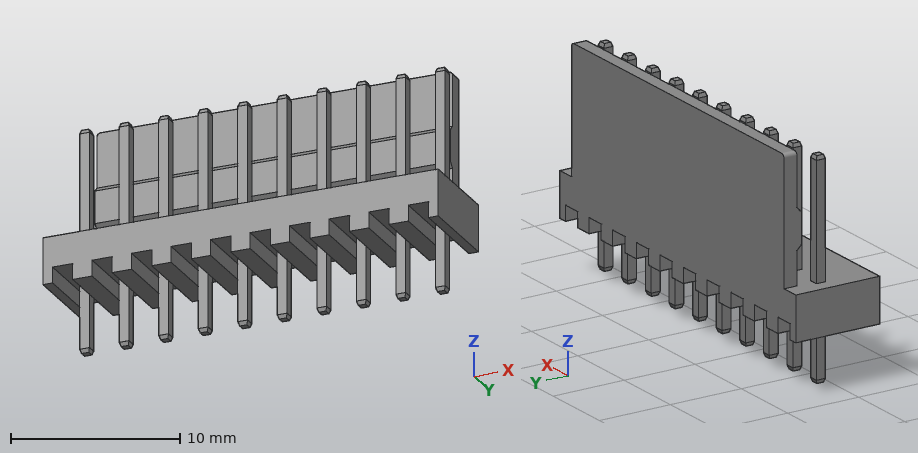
import cadquery as cq


pin_count = 10
pitch = 2.55
pin_width = 0.64
pin_tip_width = 0.45
pin_tip_height = 0.25
pin_below_base = 3.3
pin_inset = 2.4

base_length = pin_count * pitch
base_depth = 5.9
base_height = 3.0
slot_width = 1.3
slot_height = 1.02

wall_length = (pin_count - 1) * pitch
wall_height = 8.4
wall_thickness = 0.91
wall_corner_radius = 0.25
pin_top_drop = 0.43

rib_projection = 0.3
rib_bottom = 2.2
rib_top = 4.9
rib_slope_height = 0.3

back_y = base_depth / 2
pin_y = back_y - pin_inset
pin_top = base_height + wall_height - pin_top_drop
pin_positions = [(i - (pin_count - 1) / 2) * pitch for i in range(pin_count)]


def make_base():
    """Block with a slot across its underside at every pin."""
    base = cq.Workplane("XY").box(base_length, base_depth, base_height, centered=(True, True, False))
    slots = (
        cq.Workplane("XY")
        .pushPoints([(x, 0) for x in pin_positions])
        .rect(slot_width, base_depth)
        .extrude(slot_height)
    )
    return base.cut(slots)


def make_wall():
    """Upright wall with rounded top corners and a rib along its front face."""
    front_y = back_y - wall_thickness
    rib_y = front_y - rib_projection
    wall = (
        cq.Workplane("XY", origin=(0, back_y - wall_thickness / 2, base_height))
        .box(wall_length, wall_thickness, wall_height, centered=(True, True, False))
        .edges("|Y and >Z")
        .fillet(wall_corner_radius)
    )
    rib = (
        cq.Workplane("YZ", origin=(-wall_length / 2, 0, base_height))
        .polyline([
            (front_y, rib_bottom),
            (rib_y, rib_bottom + rib_slope_height),
            (rib_y, rib_top - rib_slope_height),
            (front_y, rib_top),
        ])
        .close()
        .extrude(wall_length)
    )
    return wall.union(rib)


def make_pin(x):
    """Square pin through the base, tapered at both ends."""
    shank_bottom = -pin_below_base + pin_tip_height
    shank_top = pin_top - pin_tip_height
    shank = (
        cq.Workplane("XY", origin=(x, pin_y, shank_bottom))
        .rect(pin_width, pin_width)
        .extrude(shank_top - shank_bottom)
    )
    for z, direction in ((shank_top, 1), (shank_bottom, -1)):
        tip = (
            cq.Workplane("XY", origin=(x, pin_y, z))
            .rect(pin_width, pin_width)
            .workplane(offset=direction * pin_tip_height)
            .rect(pin_tip_width, pin_tip_width)
            .loft()
        )
        shank = shank.union(tip)
    return shank


result = make_base().union(make_wall())
for pin_x in pin_positions:
    result = result.union(make_pin(pin_x))